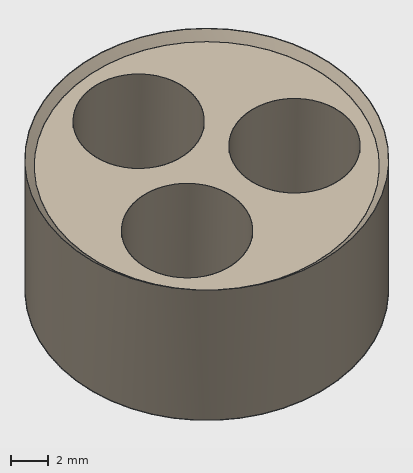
import cadquery as cq

body_diameter = 19.4
body_height = 10.0
hole_diameter = 7.0
hole_count = 3
hole_circle_radius = 4.9
first_hole_angle = 90.0
recess_depth = 0.5

body_radius = body_diameter / 2
floor_radius = body_radius - recess_depth
floor_height = body_height - recess_depth

body = (
    cq.Workplane("XZ")
    .moveTo(0, 0)
    .lineTo(body_radius, 0)
    .lineTo(body_radius, body_height)
    .lineTo(floor_radius, floor_height)
    .lineTo(0, floor_height)
    .close()
    .revolve(360, (0, 0, 0), (0, 1, 0))
)

holes = (
    cq.Workplane("XY")
    .polarArray(hole_circle_radius, first_hole_angle, 360, hole_count)
    .circle(hole_diameter / 2)
    .extrude(body_height)
)

result = body.cut(holes)